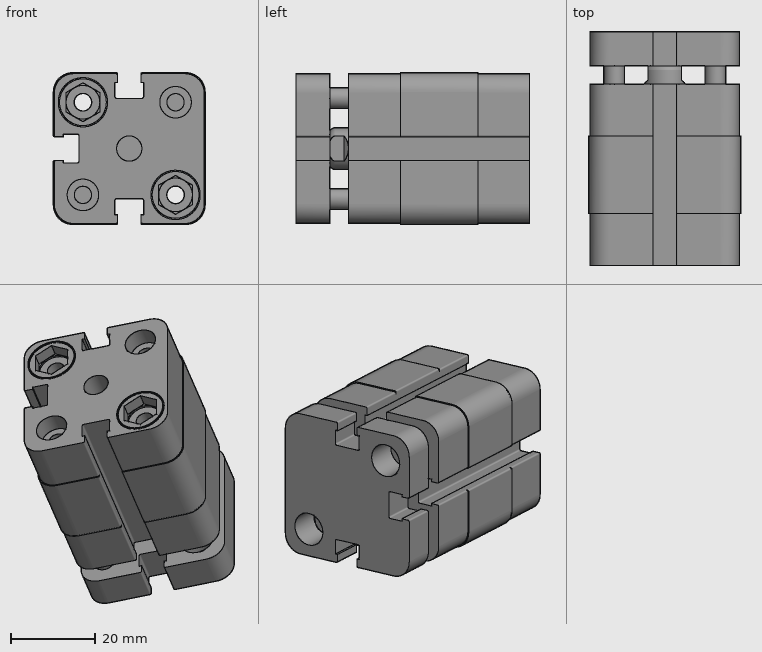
import cadquery as cq


total_length = 55.5
front_y = -total_length / 2
back_y = total_length / 2
cap_length = 12.3
barrel_length = 18.35
plate_thickness = 8.1
barrel_start_y = front_y + cap_length
barrel_end_y = barrel_start_y + barrel_length
body_end_y = barrel_end_y + cap_length
plate_start_y = back_y - plate_thickness

barrel_width = 36.1
cap_width = 35.5
barrel_corner_radius = 4.7
cap_corner_radius = 4.5

slot_neck_width = 5.55
slot_inner_width = 6.75
slot_shoulder_height = 15.65
slot_floor_height = 11.95
slot_edge_radius = 0.4
slot_angles = (0, 90, 180)

hole_offset = 11.0
screw_corners = [(-hole_offset, hole_offset), (hole_offset, -hole_offset)]
screw_bore_diameter = 11.7
screw_head_diameter = 11.1
screw_gap_depth = 0.3
hex_across_flats = 8.0
hex_depth = 3.0
socket_depth = 3.5
passage_diameter = 4.1
plate_hole_diameter = 8.0

stepped_corners = [(-hole_offset, -hole_offset), (hole_offset, hole_offset)]
stepped_outer_diameter = 7.5
stepped_outer_depth = 4.6
stepped_total_depth = 22.2
center_hole_diameter = 6.0
center_hole_depth = 11.1

pin_diameter = 5.0
pin_offset = 12.0
pin_corners = [(-pin_offset, -pin_offset), (pin_offset, pin_offset)]
rod_diameter = 10.0
rod_across_flats = 8.0
rod_tip_length = 1.1
rod_tip_diameter = 8.65
rod_tip_bulge = 0.1


def at_station(y):
    """Workplane at position y on the stroke axis: local x is X, local y is Z, normal is -Y."""
    return cq.Workplane("XZ", origin=(0, y, 0))


def cylinders(points, diameter, start_y, end_y):
    """Cylinders parallel to Y, centered at the given (X, Z) points."""
    return at_station(start_y).pushPoints(points).circle(diameter / 2).extrude(start_y - end_y)


def slot_cutter(outer_height, start_y, end_y):
    """T-slot volume for the top side, with rounded floor corners."""
    length = start_y - end_y
    neck_height = outer_height - slot_floor_height
    chamber_height = slot_shoulder_height - slot_floor_height
    neck = (
        at_station(start_y)
        .center(0, slot_floor_height + neck_height / 2)
        .rect(slot_neck_width, neck_height)
        .extrude(length)
    )
    chamber = (
        at_station(start_y)
        .center(0, slot_floor_height + chamber_height / 2)
        .rect(slot_inner_width, chamber_height)
        .extrude(length)
        .edges("|Y and <Z")
        .fillet(slot_edge_radius)
    )
    return neck.union(chamber)


def slotted_section(width, corner_radius, start_y, end_y):
    """Rounded square bar with three T-slots whose mouths have rounded edges."""
    half_width = width / 2
    section = (
        at_station(start_y)
        .rect(width, width)
        .extrude(start_y - end_y)
        .edges("|Y")
        .fillet(corner_radius)
    )
    mouth_box = cq.selectors.BoxSelector(
        (-slot_neck_width, front_y, half_width - slot_edge_radius),
        (slot_neck_width, back_y, half_width + slot_edge_radius),
    )
    cutter = slot_cutter(half_width, start_y, end_y)
    for angle in slot_angles:
        section = section.rotate((0, 0, 0), (0, 1, 0), angle)
        section = section.cut(cutter)
        section = section.edges("|Y").edges(mouth_box).fillet(slot_edge_radius)
        section = section.rotate((0, 0, 0), (0, 1, 0), -angle)
    return section


def hex_sockets():
    """Hexagonal drive sockets of the hollow screws, with two corners on the Z direction."""
    hexagon = cq.Sketch().regularPolygon(hex_across_flats / 3**0.5, 6)
    return at_station(front_y).pushPoints(screw_corners).placeSketch(hexagon).extrude(-hex_depth)


def screw_gaps():
    """Shallow ring gaps around the hollow screw heads."""
    return (
        at_station(front_y)
        .pushPoints(screw_corners)
        .circle(screw_bore_diameter / 2)
        .circle(screw_head_diameter / 2)
        .extrude(-screw_gap_depth)
    )


def piston_rod():
    """Rod end with a rounded tip and two wrench flats that run out at 45 degrees."""
    length = plate_start_y - body_end_y
    radius = rod_diameter / 2
    tip_radius = rod_tip_diameter / 2
    flat_half = rod_across_flats / 2
    runout = radius - flat_half
    rod = (
        cq.Workplane("XY")
        .moveTo(0, body_end_y)
        .lineTo(radius, body_end_y)
        .lineTo(radius, plate_start_y - rod_tip_length)
        .sagittaArc((tip_radius, plate_start_y), -rod_tip_bulge)
        .lineTo(0, plate_start_y)
        .close()
        .revolve(360, (0, 0, 0), (0, 1, 0))
    )
    flats = (
        cq.Workplane("XY", origin=(0, body_end_y, -radius))
        .moveTo(-radius, 0)
        .lineTo(radius, 0)
        .lineTo(flat_half, runout)
        .lineTo(flat_half, length)
        .lineTo(-flat_half, length)
        .lineTo(-flat_half, runout)
        .close()
        .extrude(rod_diameter)
    )
    return rod.intersect(flats)


body = slotted_section(cap_width, cap_corner_radius, front_y, barrel_start_y)
body = body.union(slotted_section(barrel_width, barrel_corner_radius, barrel_start_y, barrel_end_y))
body = body.union(slotted_section(cap_width, cap_corner_radius, barrel_end_y, body_end_y))

body = body.cut(screw_gaps())
body = body.cut(hex_sockets())
body = body.cut(cylinders(screw_corners, hex_across_flats, front_y, front_y + socket_depth))
body = body.cut(cylinders(screw_corners, passage_diameter, front_y, body_end_y))

body = body.cut(cylinders(stepped_corners, stepped_outer_diameter, front_y, front_y + stepped_outer_depth))
body = body.cut(cylinders(stepped_corners, passage_diameter, front_y, front_y + stepped_total_depth))
body = body.cut(cylinders([(0, 0)], center_hole_diameter, front_y, front_y + center_hole_depth))

plate = slotted_section(cap_width, cap_corner_radius, plate_start_y, back_y)
plate = plate.cut(cylinders(screw_corners, plate_hole_diameter, plate_start_y, back_y))

pins = cylinders(pin_corners, pin_diameter, body_end_y, plate_start_y)
result = body.union(plate).union(piston_rod()).union(pins)